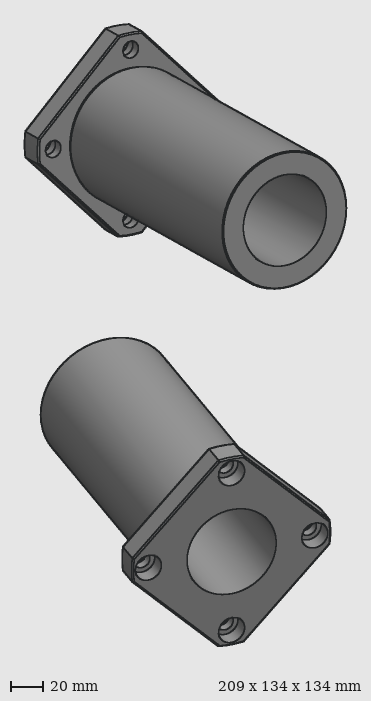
import cadquery as cq

TOTAL_LENGTH = 209.0
X_FACE = 0.0
AXIS_START = (0, 0, 0)
AXIS_END = (1, 0, 0)
FULL_TURN = 360.0

FLANGE_THICKNESS = 18.0
FLANGE_CORNER_DIAMETER = 134.0
FLANGE_ACROSS_FLATS = 106.0
FLANGE_CHAMFER = 1.0
FLANGE_TURN = 45.0

SLEEVE_DIAMETER = 90.0
BORE_DIAMETER = 60.0
END_CHAMFER = 0.7

NECK_LENGTH = 2.5
NECK_DROP = 0.9

HOLE_COUNT = 4
HOLE_CIRCLE_DIAMETER = 112.0
HOLE_DIAMETER = 11.0
COUNTERBORE_DIAMETER = 17.5
COUNTERBORE_DEPTH = 11.1


def cylinder(diameter, x_start, length):
    """Solid cylinder on the X axis."""
    return cq.Workplane("YZ", origin=(x_start, 0, 0)).circle(diameter / 2).extrude(length)


def make_flange():
    """Square plate with circular corners and chamfered face edges."""
    plate = (
        cq.Workplane("YZ", origin=(X_FACE, 0, 0))
        .transformed(rotate=(0, 0, FLANGE_TURN))
        .rect(FLANGE_ACROSS_FLATS, FLANGE_ACROSS_FLATS)
        .extrude(FLANGE_THICKNESS)
    )
    disc = cylinder(FLANGE_CORNER_DIAMETER, X_FACE, FLANGE_THICKNESS)
    return plate.intersect(disc).faces("<X or >X").chamfer(FLANGE_CHAMFER)


def make_sleeve():
    """Turned sleeve: a concave neck behind the flange and a chamfered far end."""
    radius = SLEEVE_DIAMETER / 2
    x_neck = X_FACE + FLANGE_THICKNESS
    x_end = X_FACE + TOTAL_LENGTH
    profile = (
        cq.Workplane("XY")
        .moveTo(X_FACE, 0)
        .lineTo(X_FACE, radius - NECK_DROP)
        .lineTo(x_neck, radius - NECK_DROP)
        .tangentArcPoint((x_neck + NECK_LENGTH, radius), relative=False)
        .lineTo(x_end - END_CHAMFER, radius)
        .lineTo(x_end, radius - END_CHAMFER)
        .lineTo(x_end, 0)
        .close()
    )
    return profile.revolve(FULL_TURN, AXIS_START, AXIS_END)


def make_mounting_holes():
    """Stepped cutters, one towards each flange corner."""
    through = cylinder(HOLE_DIAMETER, X_FACE, FLANGE_THICKNESS)
    counterbore = cylinder(COUNTERBORE_DIAMETER, X_FACE, COUNTERBORE_DEPTH)
    cutter = through.union(counterbore).translate((0, 0, HOLE_CIRCLE_DIAMETER / 2))
    cutters = cq.Workplane("YZ")
    for index in range(HOLE_COUNT):
        angle = index * FULL_TURN / HOLE_COUNT
        cutters = cutters.add(cutter.rotate(AXIS_START, AXIS_END, angle))
    return cutters.combine()


body = make_flange().union(make_sleeve())
bore = cylinder(BORE_DIAMETER, X_FACE, TOTAL_LENGTH)
result = body.cut(bore).cut(make_mounting_holes())